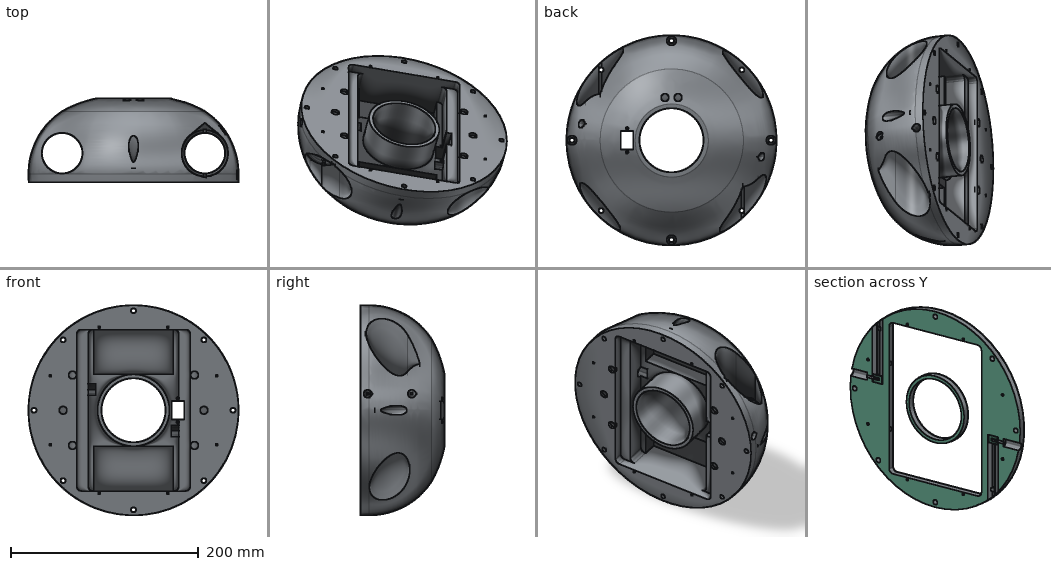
import cadquery as cq
import math

outer_radius = 112.0
total_depth = 89.52
rim_depth = 9.0
shoulder_arc_radius = 80.0
shoulder_end_depth = 75.6
cap_mid_radius = 61.5
cap_mid_depth = 82.8
back_flat_radius = 39.0
past_shell = 2 * outer_radius

tube_outer_radius = 38.25
tube_inner_radius = 34.0

recess_height = 172.0
recess_corner_radius = 5.0
outer_recess_width = 121.0
outer_recess_depth = 10.0
inner_recess_width = 96.5
inner_recess_depth = 31.0
pocket_width = 84.5
pocket_depth = 46.5

window_center_x = 47.3
window_width = 13.0
window_height = 19.6
window_screw_offset = 12.65
window_screw_diameter = 2.5

bolt_count = 8
bolt_circle_radius = 106.0
bolt_diameter = 5.0
bolt_head_diameter = 10.0
bolt_head_seat_depth = 15.0
pilot_circle_radius = 95.8
pilot_diameter = 2.2
pilot_depth = 10.0
magnet_diameter = 8.2
magnet_depth = 3.0
magnet_circle_radius = 75.0
magnet_angles = (-30, 0, 30, 150, 180, 210)
back_magnet_offset_x = 7.0
back_magnet_z = 45.5
back_magnet_floor = 84.5

eye_x = 76.0
eye_y = inner_recess_depth
eye_bore_radius = 21.5
eye_socket_radius = 24.8
overhang_angle = 40.0
keyway_reach = 25.9
keyway_width = 3.4

ring_clearance = 0.2
ring_outer_radius = eye_socket_radius - ring_clearance
ring_rounding = 2.9
ring_thickness = 8.6
lug_width = keyway_width - 2 * ring_clearance
lug_reach = keyway_reach - ring_clearance

ring_screw_z = 17.6
ring_screw_diameter = 2.4
ring_screw_head_radius = 4.2
ring_screw_head_seat_x = 90.0
ring_screw_y_positions = (7.6, 54.6)
socket_floor_z = ring_screw_z - ring_thickness / 2

passage_radius = 6.25
passage_inner_x = 40.0
passage_z = 22.0


def half_turn(solid):
    """Copy on the opposite side, turned 180 degrees about the Y axis."""
    return solid.rotate((0, 0, 0), (0, 1, 0), 180)


def block(width, height, start_y, end_y, center_x=0.0, center_z=0.0):
    """Rectangular block centred in X and Z that spans a range of Y."""
    return (
        cq.Workplane("XY")
        .box(width, end_y - start_y, height)
        .translate((center_x, (start_y + end_y) / 2, center_z))
    )


def rod(x, z, diameter, start_y, end_y):
    """Cylinder parallel to Y."""
    axis = cq.Vector(0, 1, 0)
    start = cq.Vector(x, start_y, z)
    return cq.Workplane(cq.Solid.makeCylinder(diameter / 2, end_y - start_y, start, axis))


def polar_points(radius, angles):
    return [
        (radius * math.cos(math.radians(a)), radius * math.sin(math.radians(a)))
        for a in angles
    ]


def teardrop(plane, center, tip_direction, radius, length):
    """Extruded circle that closes to a point along the given direction of the plane."""
    angle = math.radians(overhang_angle)
    touch_along = radius * math.cos(angle)
    touch_across = radius * math.sin(angle)
    tip = radius / math.cos(angle)

    def local(along, across):
        dx, dy = tip_direction
        return (center[0] + along * dx - across * dy, center[1] + along * dy + across * dx)

    return (
        cq.Workplane(plane)
        .moveTo(*local(tip, 0))
        .lineTo(*local(touch_along, touch_across))
        .threePointArc(local(-radius, 0), local(touch_along, -touch_across))
        .close()
        .extrude(length)
    )


def dome():
    arc_center_radius = outer_radius - shoulder_arc_radius

    def shoulder_radius(depth):
        return arc_center_radius + math.sqrt(shoulder_arc_radius**2 - (depth - rim_depth) ** 2)

    shoulder_mid_depth = (rim_depth + shoulder_end_depth) / 2
    return (
        cq.Workplane("XY")
        .lineTo(outer_radius, 0)
        .lineTo(outer_radius, rim_depth)
        .threePointArc(
            (shoulder_radius(shoulder_mid_depth), shoulder_mid_depth),
            (shoulder_radius(shoulder_end_depth), shoulder_end_depth),
        )
        .threePointArc((cap_mid_radius, cap_mid_depth), (back_flat_radius, total_depth))
        .lineTo(0, total_depth)
        .close()
        .revolve(360, (0, 0, 0), (0, 1, 0))
    )


def front_recess():
    """Two rounded steps around the tube, with a deeper rectangular pocket above and below it."""
    outer_step = block(outer_recess_width, recess_height, 0, outer_recess_depth)
    inner_step = block(inner_recess_width, recess_height, 0, inner_recess_depth)
    recess = outer_step.edges("|Y").fillet(recess_corner_radius)
    recess = recess.union(inner_step.edges("|Y").fillet(recess_corner_radius))

    pocket_height = recess_height / 2 - tube_outer_radius
    pocket_center_z = recess_height / 2 - pocket_height / 2
    for side in (-1, 1):
        recess = recess.union(
            block(pocket_width, pocket_height, outer_recess_depth, pocket_depth, 0, side * pocket_center_z)
        )
    return recess.cut(rod(0, 0, 2 * tube_outer_radius, 0, total_depth))


def window_cutters():
    cutters = [block(window_width, window_height, 0, total_depth, window_center_x)]
    for side in (-1, 1):
        screw_z = side * window_screw_offset
        cutters.append(rod(window_center_x, screw_z, window_screw_diameter, 0, total_depth))
    return cutters


def face_hole_cutters():
    cutters = []
    bolt_pitch = 360 / bolt_count
    bolt_angles = [i * bolt_pitch for i in range(bolt_count)]
    for x, z in polar_points(bolt_circle_radius, bolt_angles):
        cutters.append(rod(x, z, bolt_diameter, 0, total_depth))
        cutters.append(rod(x, z, bolt_head_diameter, bolt_head_seat_depth, total_depth))

    pilot_angles = [a + bolt_pitch / 2 for a in bolt_angles]
    for x, z in polar_points(pilot_circle_radius, pilot_angles):
        cutters.append(rod(x, z, pilot_diameter, 0, pilot_depth))

    for x, z in polar_points(magnet_circle_radius, magnet_angles):
        cutters.append(rod(x, z, magnet_diameter, 0, magnet_depth))
    for side in (-1, 1):
        cutters.append(
            rod(side * back_magnet_offset_x, back_magnet_z, magnet_diameter, back_magnet_floor, total_depth)
        )
    return cutters


def eye_cutters():
    """Bore, teardrop socket, keyways, wire passage and ring screws of the +X eye."""
    bore = cq.Workplane("XY").center(eye_x, eye_y).circle(eye_bore_radius).extrude(past_shell, both=True)
    socket_plane = cq.Plane(origin=(0, 0, socket_floor_z))
    socket = teardrop(socket_plane, (eye_x, eye_y), (0, 1), eye_socket_radius, past_shell)
    keyways = (
        cq.Workplane(socket_plane)
        .center(eye_x, eye_y)
        .rect(keyway_width, 2 * keyway_reach)
        .extrude(past_shell)
    )
    passage_plane = cq.Plane.named("YZ", origin=(passage_inner_x, 0, 0))
    passage = teardrop(
        passage_plane, (eye_y, -passage_z), (1, 0), passage_radius, eye_x - passage_inner_x
    )
    return [bore, socket, keyways, passage] + ring_screw_cutters()


def ring_screw_cutters():
    cutters = []
    head_plane = cq.Plane.named("YZ", origin=(ring_screw_head_seat_x, 0, 0))
    for y in ring_screw_y_positions:
        cutters.append(teardrop(head_plane, (y, ring_screw_z), (1, 0), ring_screw_head_radius, past_shell))
        cutters.append(ring_screw_hole(y))
    return cutters


def ring_screw_hole(y):
    """Screw hole from the head seat through the lug to the far side of its keyway."""
    inner_x = eye_x - keyway_width / 2
    return (
        cq.Workplane(cq.Plane.named("YZ", origin=(inner_x, 0, 0)))
        .center(y, ring_screw_z)
        .circle(ring_screw_diameter / 2)
        .extrude(ring_screw_head_seat_x - inner_x)
    )


def make_housing():
    housing = dome().cut(front_recess())
    housing = housing.cut(rod(0, 0, 2 * tube_inner_radius, 0, total_depth))
    for cutter in window_cutters() + face_hole_cutters():
        housing = housing.cut(cutter)
    for cutter in eye_cutters():
        housing = housing.cut(cutter).cut(half_turn(cutter))
    return housing


def make_ring():
    """Rounded ring of the +X eye with two flat-topped lugs that the screws pass through."""
    ring_plane = cq.Plane(origin=(eye_x, eye_y, socket_floor_z))
    ring = (
        cq.Workplane(ring_plane)
        .circle(ring_outer_radius)
        .circle(eye_bore_radius)
        .extrude(ring_thickness)
        .faces(">Z")
        .edges(cq.selectors.RadiusNthSelector(0))
        .fillet(ring_rounding)
    )
    lugs = cq.Workplane(ring_plane).rect(lug_width, 2 * lug_reach).extrude(ring_thickness)
    lugs = lugs.cut(cq.Workplane(ring_plane).circle(eye_bore_radius).extrude(ring_thickness))
    ring = ring.union(lugs)
    for y in ring_screw_y_positions:
        ring = ring.cut(ring_screw_hole(y))
    return ring


housing = make_housing()
ring = make_ring()
rings = [ring, half_turn(ring)]

result = cq.Compound.makeCompound([housing.solids().val(), *[r.solids().val() for r in rings]])